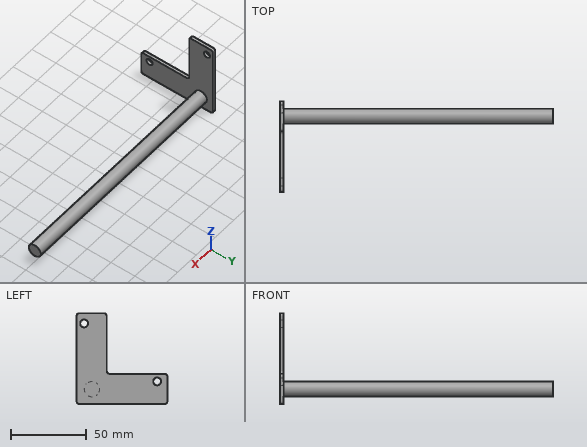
import cadquery as cq

total_length = 180.0
plate_side = 60.0
plate_thickness = 2.5
leg_width = 20.0
corner_radius = 2.0
rod_diameter = 10.0
hole_diameter = 5.0
hole_edge_offset = 5.0
hole_end_offset = 6.8


def make_plate():
    """L-shaped plate in the YZ plane, with its outer corner at +Y, -Z."""
    inner_y = plate_side - leg_width
    outline = [
        (0, 0),
        (plate_side, 0),
        (plate_side, plate_side),
        (inner_y, plate_side),
        (inner_y, leg_width),
        (0, leg_width),
    ]
    plate = cq.Workplane("YZ").polyline(outline).close().extrude(plate_thickness)
    return plate.edges("|X").fillet(corner_radius)


def make_rod():
    """Round rod standing on the plate where the two legs meet."""
    center = (plate_side - leg_width / 2, leg_width / 2)
    return cq.Workplane("YZ").center(*center).circle(rod_diameter / 2).extrude(total_length)


def make_holes():
    """Cutters for the mounting hole near the free end of each leg."""
    centers = [
        (plate_side - hole_edge_offset, plate_side - hole_end_offset),
        (hole_end_offset, leg_width - hole_edge_offset),
    ]
    return cq.Workplane("YZ").pushPoints(centers).circle(hole_diameter / 2).extrude(plate_thickness)


result = make_plate().cut(make_holes()).union(make_rod())